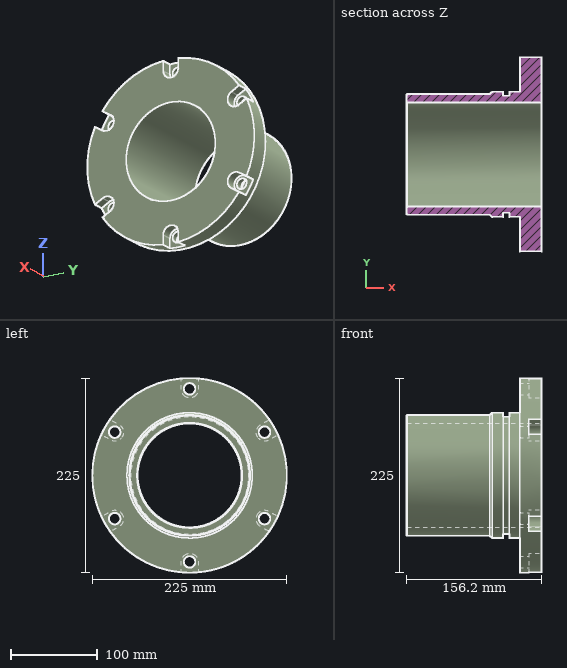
import cadquery as cq

total_length = 156.2
flange_diameter = 225.0
flange_thickness = 25.2
bore_diameter = 120.0
pipe_diameter = 140.0
pipe_edge_chamfer = 1.0

collar_diameter = 145.0
collar_length = 34.9
collar_lead_in = 3.0
groove_diameter = 135.7
groove_width = 7.2
groove_to_flange = 12.0

bolt_count = 6
bolt_circle_radius = 100.0
bolt_hole_diameter = 13.0
slot_width = 20.0
slot_depth = 15.0

flange_start = total_length - flange_thickness
collar_start = flange_start - collar_length
groove_end = flange_start - groove_to_flange
groove_start = groove_end - groove_width
slot_start = total_length - slot_depth


def cylinder(start, end, diameter):
    """Solid cylinder along X between two positions."""
    return cq.Workplane("YZ", origin=(start, 0, 0)).circle(diameter / 2).extrude(end - start)


def make_pipe():
    pipe = cylinder(0, flange_start, pipe_diameter)
    pipe = pipe.cut(make_bore())
    return pipe.faces("<X").edges().chamfer(pipe_edge_chamfer)


def make_collar():
    lead_in_height = (collar_diameter - pipe_diameter) / 2
    collar = cylinder(collar_start, flange_start, collar_diameter)
    return collar.faces("<X").edges().chamfer(collar_lead_in, lead_in_height)


def make_groove():
    outer = cylinder(groove_start, groove_end, flange_diameter)
    return outer.cut(cylinder(groove_start, groove_end, groove_diameter))


def make_bore():
    return cylinder(0, total_length, bore_diameter)


def make_bolt_cut():
    """Hole and round-bottomed rim slot at the +Z position."""
    hole = (
        cq.Workplane("YZ", origin=(flange_start, 0, 0))
        .center(0, bolt_circle_radius)
        .circle(bolt_hole_diameter / 2)
        .extrude(flange_thickness)
    )
    slot = (
        cq.Workplane("YZ", origin=(slot_start, 0, 0))
        .moveTo(-slot_width / 2, flange_diameter / 2)
        .lineTo(-slot_width / 2, bolt_circle_radius)
        .threePointArc((0, bolt_circle_radius - slot_width / 2), (slot_width / 2, bolt_circle_radius))
        .lineTo(slot_width / 2, flange_diameter / 2)
        .close()
        .extrude(slot_depth)
    )
    return hole.union(slot)


flange = cylinder(flange_start, total_length, flange_diameter)
result = make_pipe().union(make_collar()).union(flange)
result = result.cut(make_groove()).cut(make_bore())

bolt_cut = make_bolt_cut()
for index in range(bolt_count):
    angle = index * 360 / bolt_count
    result = result.cut(bolt_cut.rotate((0, 0, 0), (1, 0, 0), angle))